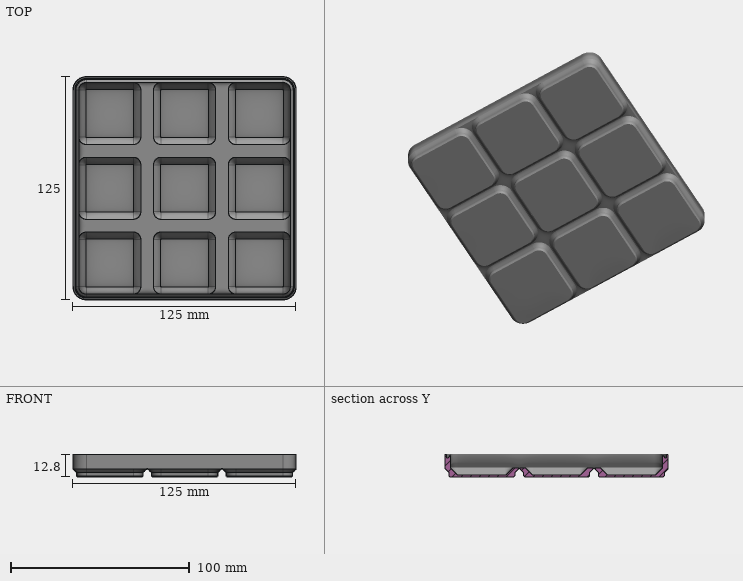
import cadquery as cq
import math

side = 125.0
height = 12.8
corner_radius = 7.5

foot_count = 3
foot_gap = 0.6
foot_side = (side - (foot_count - 1) * foot_gap) / foot_count
foot_pitch = foot_side + foot_gap
chamfer_angle = 45
toe_chamfer = 0.8
foot_straight = 1.9
upper_chamfer = 2.0
foot_height = toe_chamfer + foot_straight + upper_chamfer

wall = 3.2
floor_top = 5.2

pocket_side = foot_side - 2 * wall
pocket_radius = corner_radius - wall
pocket_depth = 4.0

lip = 1.0
groove_flat = 0.6
groove_depth = 2.0


def rounded_block(inset, bottom, thickness, taper=0):
    """Block with the outline of the tray, moved inward by inset."""
    return rounded_prism(side - 2 * inset, corner_radius - inset, bottom, thickness, taper)


def rounded_prism(width, radius, bottom, thickness, taper=0):
    """Square prism with rounded corners; a positive taper narrows it upward."""
    outline = cq.Sketch().rect(width, width).vertices().fillet(radius)
    return cq.Workplane("XY").workplane(offset=bottom).placeSketch(outline).extrude(thickness, taper=taper)


def at_grid(shape):
    """Join copies of a shape, one at every foot position."""
    middle = (foot_count - 1) / 2
    copies = cq.Workplane("XY")
    for column in range(foot_count):
        for row in range(foot_count):
            place = ((column - middle) * foot_pitch, (row - middle) * foot_pitch, 0)
            copies = copies.add(shape.translate(place))
    return copies.combine()


def make_foot():
    """Foot with a chamfered toe, an upright band and a chamfer below the tray."""
    band_side = foot_side - 2 * upper_chamfer
    band_radius = corner_radius - upper_chamfer
    toe = rounded_prism(
        band_side - 2 * toe_chamfer, band_radius - toe_chamfer, 0, toe_chamfer, -chamfer_angle
    )
    band = rounded_prism(band_side, band_radius, toe_chamfer, foot_straight)
    flare = rounded_prism(band_side, band_radius, toe_chamfer + foot_straight, upper_chamfer, -chamfer_angle)
    return toe.union(band).union(flare)


def make_pocket():
    """Pocket with sloped sides, nearly sharp at the corners of its bottom."""
    bottom_side = pocket_side - 2 * pocket_depth
    bottom_radius = pocket_radius - pocket_depth
    return rounded_prism(bottom_side, bottom_radius, floor_top - pocket_depth, pocket_depth, -chamfer_angle)


def make_groove():
    """Ring cut into the rim, with a sloped inner side."""
    slope_width = wall - lip - groove_flat
    slope = math.degrees(math.atan2(slope_width, groove_depth))
    bottom = height - groove_depth
    core = rounded_block(lip + groove_flat, bottom, groove_depth, slope)
    return rounded_block(lip, bottom, groove_depth).cut(core)


body = rounded_block(0, foot_height, height - foot_height)
cavity = rounded_block(wall, floor_top, height - floor_top)

result = (
    body.union(at_grid(make_foot()))
    .cut(cavity)
    .cut(at_grid(make_pocket()))
    .cut(make_groove())
)